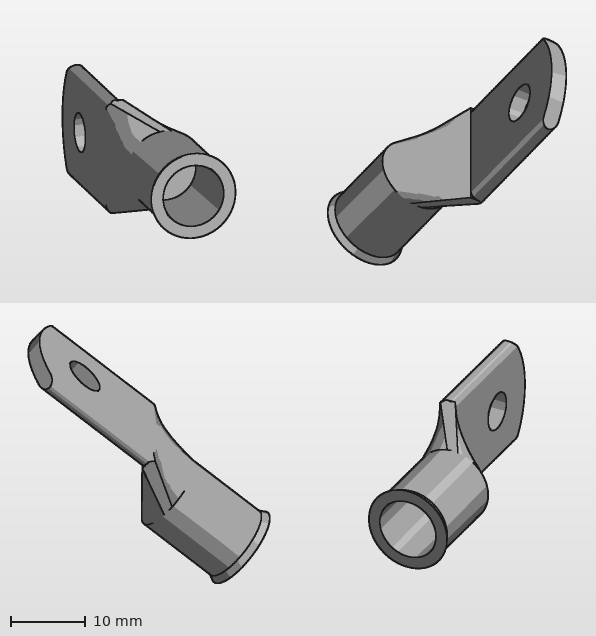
import cadquery as cq
import math


overall_length = 41.04
hole_from_tip = 8.09
tongue_length = 20.3
barrel_start = 28.1
flare_length = 1.05
flare_start = overall_length - flare_length

tongue_width = 15.75
tongue_thickness = 2.32
tongue_front = -5.97
tongue_back = tongue_front + tongue_thickness
tongue_middle = tongue_front + tongue_thickness / 2
edge_radius = tongue_thickness / 2
tip_sagitta = 2.8
hole_diameter = 5.3

barrel_radius = 5.4
flare_radius = 5.91
wall = tongue_thickness / 2
bore_radius = barrel_radius - wall

strip_half_height = 0.8


def square_section(x):
    """Square-cornered tongue cross-section at station x, as four edges."""
    half_width = tongue_width / 2
    return (
        cq.Workplane("YZ", origin=(x, 0, 0))
        .moveTo(tongue_front, half_width)
        .lineTo(tongue_back, half_width)
        .lineTo(tongue_back, -half_width)
        .lineTo(tongue_front, -half_width)
        .close()
        .wire()
        .val()
    )


def round_section(x):
    """Barrel circle at station x, split into four arcs that match the tongue section."""
    y = strip_half_height
    z = math.sqrt(barrel_radius**2 - y**2)
    return (
        cq.Workplane("YZ", origin=(x, 0, 0))
        .moveTo(-y, z)
        .threePointArc((0, barrel_radius), (y, z))
        .threePointArc((barrel_radius, 0), (y, -z))
        .threePointArc((0, -barrel_radius), (-y, -z))
        .threePointArc((-barrel_radius, 0), (-y, z))
        .wire()
        .val()
    )


def make_tongue():
    bar = (
        cq.Workplane("YZ", origin=(0, tongue_middle, 0))
        .slot2D(tongue_width, tongue_thickness, 90)
        .extrude(tongue_length)
    )
    half_width = tongue_width / 2
    tip_outline = (
        cq.Workplane("XZ", origin=(0, tongue_front, 0))
        .moveTo(tip_sagitta, -half_width)
        .threePointArc((0, 0), (tip_sagitta, half_width))
        .lineTo(tongue_length, half_width)
        .lineTo(tongue_length, -half_width)
        .close()
        .extrude(-tongue_thickness)
    )
    hole = (
        cq.Workplane("XZ", origin=(hole_from_tip, tongue_front, 0))
        .circle(hole_diameter / 2)
        .extrude(-tongue_thickness)
    )
    return bar.intersect(tip_outline).cut(hole)


def make_front_corner_trim(side):
    """Waste outside the round front edge of the tongue; side is +1 (top) or -1 (bottom)."""
    arc_offset = edge_radius * math.sqrt(0.5)
    outer_z = tongue_width / 2
    flat_z = outer_z - edge_radius
    return (
        cq.Workplane("YZ", origin=(tongue_length, 0, 0))
        .moveTo(tongue_front, side * flat_z)
        .threePointArc(
            (tongue_middle - arc_offset, side * (flat_z + arc_offset)),
            (tongue_middle, side * outer_z),
        )
        .lineTo(tongue_front, side * outer_z)
        .close()
        .extrude(barrel_start - tongue_length)
    )


def make_transition():
    """Straight-ruled blend from tongue to barrel, with the tongue's round front edges run into it."""
    sections = [square_section(tongue_length), round_section(barrel_start)]
    blend = cq.Workplane(cq.Solid.makeLoft(sections, True))
    for side in (1, -1):
        blend = blend.cut(make_front_corner_trim(side))
    return blend


def make_barrel():
    """Tube and flared mouth, revolved about the X axis."""
    return (
        cq.Workplane("XY")
        .moveTo(barrel_start, 0)
        .lineTo(barrel_start, barrel_radius)
        .lineTo(flare_start, barrel_radius)
        .lineTo(overall_length, flare_radius)
        .lineTo(overall_length, 0)
        .close()
        .revolve(360, (0, 0, 0), (1, 0, 0))
    )


def make_bore():
    """Blind conductor bore, running the length of the round barrel."""
    return (
        cq.Workplane("YZ", origin=(barrel_start, 0, 0))
        .circle(bore_radius)
        .extrude(overall_length - barrel_start)
    )


result = make_tongue().union(make_transition()).union(make_barrel()).cut(make_bore())